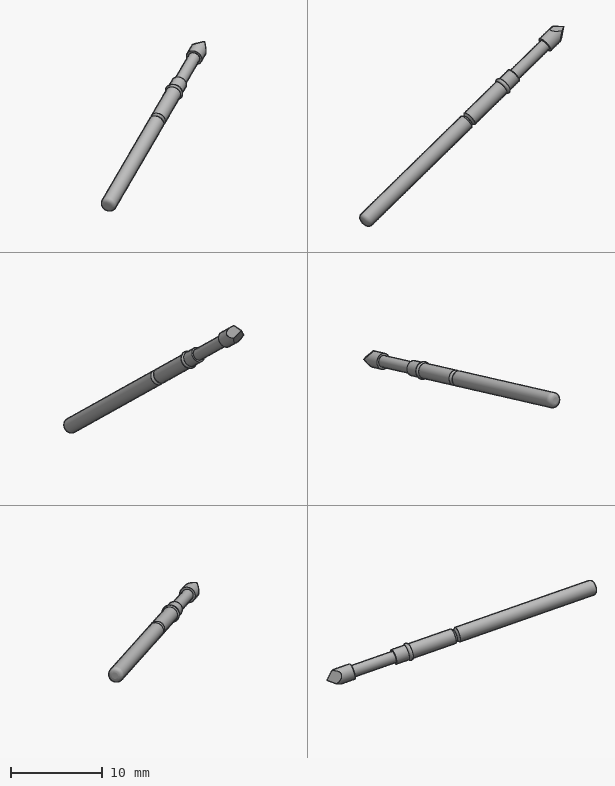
import cadquery as cq
import math

length = 32.0
tip_y = length / 2

head_diameter = 1.8
plunger_diameter = 1.3
barrel_diameter = 1.7
collar_diameter = 2.0
groove_diameter = 1.2

head_length = 3.0
barrel_start = 8.0
collar_start = 9.47
collar_width = 0.5
groove_start = 15.07
groove_width = 0.5

rear_fillet = 0.48

point_sides = 3
face_angle = 30.0


def cylinder(diameter, front, rear):
    """Cylinder on the pin axis between two distances back from the tip."""
    plane = cq.Plane(origin=(0, tip_y - rear, 0), xDir=(1, 0, 0), normal=(0, 1, 0))
    return cq.Workplane(plane).circle(diameter / 2).extrude(rear - front)


def make_head():
    """Cylindrical head sharpened to a point, with one pyramid ridge towards -X."""
    blank = cylinder(head_diameter, 0, head_length)
    inradius = head_length * math.tan(math.radians(face_angle))
    corner_radius = inradius / math.cos(math.pi / point_sides)
    corners = []
    for index in range(point_sides):
        angle = math.pi + index * 2 * math.pi / point_sides
        corners.append(cq.Vector(
            corner_radius * math.cos(angle), tip_y - head_length, corner_radius * math.sin(angle)))
    apex = cq.Vector(0, tip_y, 0)
    faces = [cq.Face.makeFromWires(cq.Wire.makePolygon(corners, close=True))]
    for index in range(point_sides):
        edge_ends = [corners[index], corners[(index + 1) % point_sides], apex]
        faces.append(cq.Face.makeFromWires(cq.Wire.makePolygon(edge_ends, close=True)))
    pyramid = cq.Solid.makeSolid(cq.Shell.makeShell(faces))
    return blank.intersect(cq.Workplane(obj=pyramid))


def make_barrel():
    """Barrel with a rounded rear end."""
    return cylinder(barrel_diameter, barrel_start, length).faces("<Y").edges().fillet(rear_fillet)


def make_collar():
    """Stop ring whose rim is a half circle."""
    rim_radius = collar_width / 2
    rim_centre_x = collar_diameter / 2 - rim_radius
    front_y = tip_y - collar_start
    rear_y = front_y - collar_width
    return (
        cq.Workplane("XY")
        .moveTo(0, front_y)
        .lineTo(rim_centre_x, front_y)
        .threePointArc((collar_diameter / 2, (front_y + rear_y) / 2), (rim_centre_x, rear_y))
        .lineTo(0, rear_y)
        .close()
        .revolve(360, (0, 0, 0), (0, 1, 0))
    )


def make_groove_cutter():
    """V-shaped ring around the barrel surface."""
    front_y = tip_y - groove_start
    rear_y = front_y - groove_width
    return (
        cq.Workplane("XY")
        .moveTo(barrel_diameter / 2, front_y)
        .lineTo(groove_diameter / 2, (front_y + rear_y) / 2)
        .lineTo(barrel_diameter / 2, rear_y)
        .close()
        .revolve(360, (0, 0, 0), (0, 1, 0))
    )


plunger = cylinder(plunger_diameter, head_length, barrel_start)
barrel = make_barrel().union(make_collar()).cut(make_groove_cutter())
result = make_head().union(plunger).union(barrel)